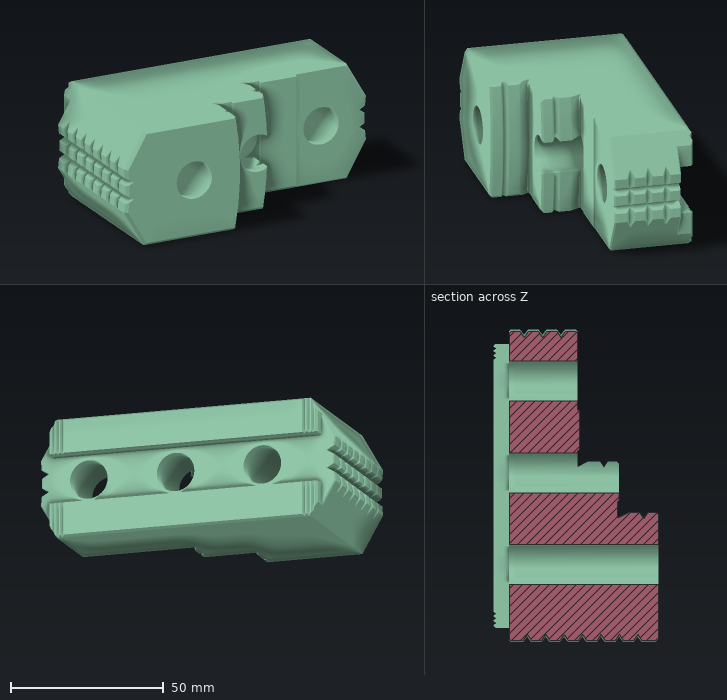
import cadquery as cq
import math

LENGTH = 102.1
HEIGHT = 40.0
WIDTH = 54.0
HALF_LENGTH = LENGTH / 2
HALF_HEIGHT = HEIGHT / 2

RAIL_DEPTH = 5.1
RAIL_HALF_LENGTH = 46.4
CHANNEL_HALF_HEIGHT = 8.2
RAIL_EDGE_CHAMFER_X = 1.0
RAIL_EDGE_CHAMFER_Z = 0.7
CHANNEL_EDGE_CHAMFER_Z = 0.2
RAIL_CORNER_CHAMFER = 0.7
NOTCH_FIRST_Y = 44.9
NOTCH_PITCH = 1.5
NOTCH_COUNT = 3
NOTCH_HALF_WIDTH = 0.6
NOTCH_DEPTH = 0.9

LEVEL_RISE = 13.0
HIGH_LEVEL_X = WIDTH
MIDDLE_LEVEL_X = HIGH_LEVEL_X - LEVEL_RISE
LOW_LEVEL_X = MIDDLE_LEVEL_X - LEVEL_RISE
MIDDLE_STEP_Y = 8.1
HIGH_STEP_Y = -8.6
STEP_AXIS_Y = -117.4
LEVEL_CHAMFER = 1.0
LOW_LEVEL_RELIEF = 0.5
LOW_RELIEF_START_Y = 25.0
MIDDLE_LEVEL_RELIEF = 0.4
ROOT_RELIEF_LENGTH = 3.4
ROOT_RAMP_WIDTH = 3.4
ROOT_RAMP_DROP = 1.7
STEP_EDGE_CHAMFER = 0.7
HIGH_STEP_SIDE_CHAMFER = 0.6
STEP_GROOVE_INSET = 4.9

END_FACE_RADIUS = 59.2
TOOTH_HALF_HEIGHT = 7.6
END_REAR_CHAMFER = 0.4
END_SLOPE_ANGLE = 60.0
GROOVE_PITCH = 6.0
GROOVE_WIDTH = 2.6
GROOVE_HALF_WIDTH = GROOVE_WIDTH / 2
GROOVE_DEPTH = 1.9
FRONT_GROOVE_FIRST_X = 11.0
FRONT_GROOVE_COUNT = 7
BACK_GROOVE_FIRST_X = 10.0
BACK_GROOVE_COUNT = 3
LONG_GROOVE_HALF_WIDTH = 1.4
LONG_GROOVE_TIP_DEPTH = 3.1

HOLE_DIAMETER = 13.0
HOLE_PITCH = 30.0
HOLE_MIDDLE_Y = 4.3

END_FACE_SAG = END_FACE_RADIUS - math.sqrt(END_FACE_RADIUS**2 - TOOTH_HALF_HEIGHT**2)
END_MIDDLE_Y = HALF_LENGTH - END_FACE_SAG
GROOVE_CLEARANCE = 0.5


def extrude_z(points):
    """Prism with an XY outline, running through the full height."""
    return cq.Workplane("XY").workplane(offset=-HALF_HEIGHT).polyline(points).close().extrude(HEIGHT)


def revolve_about_x(points, axis_y):
    """Ring with an XY outline, turned about a line parallel to X at the given Y."""
    return cq.Workplane("XY").polyline(points).close().revolve(360, (0, axis_y), (1, axis_y))


def mirror_in_y(solid):
    return solid.mirror("XZ")


def make_bar(start_x, end_x):
    """Plain bar between two X positions, with sloped and concave ends."""
    slope_run = (HALF_HEIGHT - TOOTH_HALF_HEIGHT) / math.tan(math.radians(END_SLOPE_ANGLE))
    top_y = HALF_LENGTH - slope_run
    return (
        cq.Workplane("YZ")
        .workplane(offset=start_x)
        .moveTo(-top_y, HALF_HEIGHT)
        .lineTo(top_y, HALF_HEIGHT)
        .lineTo(HALF_LENGTH, TOOTH_HALF_HEIGHT)
        .threePointArc((END_MIDDLE_Y, 0), (HALF_LENGTH, -TOOTH_HALF_HEIGHT))
        .lineTo(top_y, -HALF_HEIGHT)
        .lineTo(-top_y, -HALF_HEIGHT)
        .lineTo(-HALF_LENGTH, -TOOTH_HALF_HEIGHT)
        .threePointArc((-END_MIDDLE_Y, 0), (-HALF_LENGTH, TOOTH_HALF_HEIGHT))
        .close()
        .extrude(end_x - start_x)
    )


def make_layer(top_x):
    """Bar from the channel floor to a level, with both of its X faces chamfered."""
    bar = make_bar(RAIL_DEPTH, top_x)
    return bar.faces("<X").chamfer(END_REAR_CHAMFER).faces(">X").chamfer(LEVEL_CHAMFER)


def make_step(lower_level_x, root_x, top_x, step_y):
    """Layer bounded on +Y by a convex gripping face with a ramp at its root and one V groove."""
    foot_y = step_y - ROOT_RAMP_DROP
    base_x = lower_level_x - 2 * LEVEL_CHAMFER
    groove_x = top_x - STEP_GROOVE_INSET
    outline = [
        (base_x, STEP_AXIS_Y),
        (base_x, foot_y),
        (root_x, foot_y),
        (root_x + ROOT_RAMP_WIDTH, step_y),
        (groove_x - GROOVE_HALF_WIDTH, step_y),
        (groove_x, step_y - GROOVE_DEPTH),
        (groove_x + GROOVE_HALF_WIDTH, step_y),
        (top_x - STEP_EDGE_CHAMFER, step_y),
        (top_x, step_y - STEP_EDGE_CHAMFER),
        (top_x, STEP_AXIS_Y),
    ]
    return make_layer(top_x).intersect(revolve_about_x(outline, STEP_AXIS_Y))


def make_side_chamfer():
    """Wedge along the upper +Y edge of the high step."""
    face_radius = HIGH_STEP_Y - STEP_AXIS_Y
    edge_y = STEP_AXIS_Y + math.sqrt(face_radius**2 - HALF_HEIGHT**2)
    return (
        cq.Workplane("YZ")
        .workplane(offset=MIDDLE_LEVEL_X)
        .moveTo(edge_y - HIGH_STEP_SIDE_CHAMFER, HALF_HEIGHT)
        .lineTo(edge_y + HIGH_STEP_SIDE_CHAMFER, HALF_HEIGHT)
        .lineTo(edge_y + HIGH_STEP_SIDE_CHAMFER, HALF_HEIGHT - 2 * HIGH_STEP_SIDE_CHAMFER)
        .close()
        .extrude(LEVEL_RISE)
    )


def make_root_relief(level_x, depth, step_y):
    """Shallow recess of a level beside the step above it, with a 45 degree end."""
    foot_y = step_y - ROOT_RAMP_DROP
    end_y = step_y + ROOT_RELIEF_LENGTH
    return extrude_z([
        (level_x - depth, foot_y),
        (level_x, foot_y),
        (level_x, end_y + depth),
        (level_x - depth, end_y),
    ])


def make_stepped_body():
    low_root_x = LOW_LEVEL_X - LOW_LEVEL_RELIEF
    middle_root_x = MIDDLE_LEVEL_X - MIDDLE_LEVEL_RELIEF

    end_relief = extrude_z([
        (low_root_x, LOW_RELIEF_START_Y),
        (LOW_LEVEL_X, LOW_RELIEF_START_Y),
        (LOW_LEVEL_X, HALF_LENGTH),
        (low_root_x, HALF_LENGTH),
    ])
    low_layer = make_layer(LOW_LEVEL_X).cut(end_relief)
    low_layer = low_layer.cut(make_root_relief(LOW_LEVEL_X, LOW_LEVEL_RELIEF, MIDDLE_STEP_Y))

    middle_step = make_step(LOW_LEVEL_X, low_root_x, MIDDLE_LEVEL_X, MIDDLE_STEP_Y)
    middle_step = middle_step.cut(make_root_relief(MIDDLE_LEVEL_X, MIDDLE_LEVEL_RELIEF, HIGH_STEP_Y))

    side_chamfer = make_side_chamfer()
    high_step = make_step(MIDDLE_LEVEL_X, middle_root_x, HIGH_LEVEL_X, HIGH_STEP_Y)
    high_step = high_step.cut(side_chamfer).cut(side_chamfer.mirror("XY"))

    return low_layer.union(middle_step).union(high_step)


def make_rails():
    """Two rails on the channel floor, rooted far enough to fill the rear chamfer beside them."""
    rails = make_bar(0, RAIL_DEPTH + 2 * END_REAR_CHAMFER)
    rails = rails.intersect(cq.Workplane("XY").box(WIDTH, 2 * RAIL_HALF_LENGTH, HEIGHT))
    mouth_half_height = CHANNEL_HALF_HEIGHT + CHANNEL_EDGE_CHAMFER_Z
    channel = (
        cq.Workplane("XZ")
        .moveTo(0, mouth_half_height)
        .lineTo(RAIL_EDGE_CHAMFER_X, CHANNEL_HALF_HEIGHT)
        .lineTo(WIDTH, CHANNEL_HALF_HEIGHT)
        .lineTo(WIDTH, -CHANNEL_HALF_HEIGHT)
        .lineTo(RAIL_EDGE_CHAMFER_X, -CHANNEL_HALF_HEIGHT)
        .lineTo(0, -mouth_half_height)
        .close()
        .extrude(HALF_LENGTH, both=True)
    )
    return rails.cut(channel)


def make_rail_edge_chamfer():
    """Wedge along the outer long edge of the upper rail."""
    return (
        cq.Workplane("XZ")
        .moveTo(0, HALF_HEIGHT)
        .lineTo(RAIL_EDGE_CHAMFER_X, HALF_HEIGHT)
        .lineTo(0, HALF_HEIGHT - RAIL_EDGE_CHAMFER_Z)
        .close()
        .extrude(HALF_LENGTH, both=True)
    )


def make_rail_serrations():
    """Corner chamfer and V notches near the +Y end of both rails."""
    cutters = extrude_z([
        (0, RAIL_HALF_LENGTH),
        (RAIL_CORNER_CHAMFER, RAIL_HALF_LENGTH),
        (0, RAIL_HALF_LENGTH - RAIL_CORNER_CHAMFER),
    ])
    for index in range(NOTCH_COUNT):
        notch_y = NOTCH_FIRST_Y - index * NOTCH_PITCH
        notch = extrude_z([
            (0, notch_y - NOTCH_HALF_WIDTH),
            (NOTCH_DEPTH, notch_y),
            (0, notch_y + NOTCH_HALF_WIDTH),
        ])
        cutters = cutters.union(notch)
    return cutters


def make_cross_groove(x):
    """V ring that cuts one groove along Z into the concave +Y end."""
    axis_y = END_MIDDLE_Y + END_FACE_RADIUS
    width_per_depth = GROOVE_HALF_WIDTH / GROOVE_DEPTH
    mouth_y = END_MIDDLE_Y + GROOVE_CLEARANCE
    mouth_half_width = GROOVE_HALF_WIDTH + GROOVE_CLEARANCE * width_per_depth
    outline = [
        (x - mouth_half_width, mouth_y),
        (x, END_MIDDLE_Y - GROOVE_DEPTH),
        (x + mouth_half_width, mouth_y),
    ]
    return revolve_about_x(outline, axis_y)


def make_long_groove(z):
    """V groove along X into the +Y end."""
    tip_y = HALF_LENGTH - LONG_GROOVE_TIP_DEPTH
    width_per_depth = LONG_GROOVE_HALF_WIDTH / (END_MIDDLE_Y - tip_y)
    mouth_half_width = width_per_depth * LONG_GROOVE_TIP_DEPTH
    return (
        cq.Workplane("YZ")
        .moveTo(tip_y, z)
        .lineTo(HALF_LENGTH, z + mouth_half_width)
        .lineTo(HALF_LENGTH, z - mouth_half_width)
        .close()
        .extrude(WIDTH)
    )


def make_holes():
    """Row of mounting holes through the part along X."""
    hole_centres = [(HOLE_MIDDLE_Y + index * HOLE_PITCH, 0) for index in (-1, 0, 1)]
    return cq.Workplane("YZ").pushPoints(hole_centres).circle(HOLE_DIAMETER / 2).extrude(WIDTH)


body = make_stepped_body()
body = body.union(make_rails())

rail_edge_chamfer = make_rail_edge_chamfer()
body = body.cut(rail_edge_chamfer).cut(rail_edge_chamfer.mirror("XY"))

serrations = make_rail_serrations()
body = body.cut(serrations).cut(mirror_in_y(serrations))

for groove_z in (-GROOVE_PITCH / 2, GROOVE_PITCH / 2):
    long_groove = make_long_groove(groove_z)
    body = body.cut(long_groove).cut(mirror_in_y(long_groove))

for index in range(BACK_GROOVE_COUNT):
    body = body.cut(make_cross_groove(BACK_GROOVE_FIRST_X + index * GROOVE_PITCH))

for index in range(FRONT_GROOVE_COUNT):
    body = body.cut(mirror_in_y(make_cross_groove(FRONT_GROOVE_FIRST_X + index * GROOVE_PITCH)))

result = body.cut(make_holes())